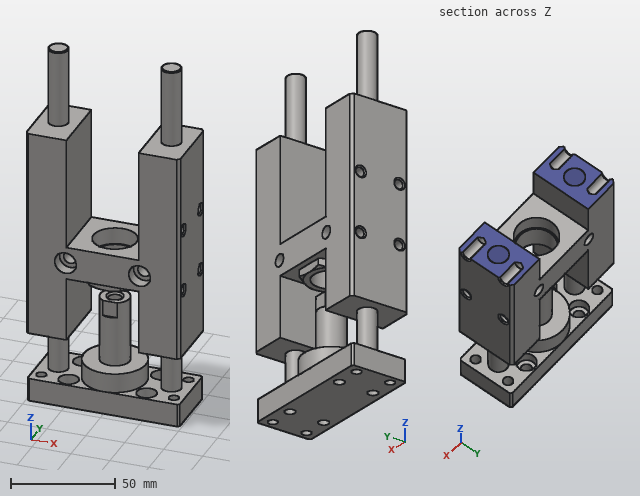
import cadquery as cq
import math

total_height = 185.0
rod_spacing = 58.0
rod_dia = 10.0

housing_width = 79.0
housing_depth = 34.0
housing_corner_chamfer = 1.5
housing_bottom = 37.0
housing_height = 108.0
leg_gap = 37.0
web_bottom = 70.0
web_height = 17.0
web_top = web_bottom + web_height
housing_top = housing_bottom + housing_height

hex_across_flats = 27.0
hex_height = 4.5
hex_face_dia = 27.2
hex_chamfer_angle = 30.0

bore_dia = 22.0
bore_depth = 8.5
bore_thread_dia = 20.38

mount_spacing = 38.0
mount_z = web_bottom + web_height / 2
mount_hole_dia = 6.6
mount_counterbore_dia = 11.0
mount_counterbore_depth = 6.5

side_hole_dia = 4.92
side_hole_depth = 12.0
side_hole_mouth_dia = 6.4
side_hole_pitch_y = 23.0
side_hole_pitch_z = 32.5
side_hole_center_z = 88.25

plate_width = 78.0
plate_depth = 32.0
plate_corner_chamfer = 1.0
plate_height = 12.0
boss_dia = 32.0
boss_height = 10.0
guide_rod_chamfer = 0.5
piston_rod_dia = 15.0
piston_rod_top = 56.0
flats_width = 13.0
flats_height = 8.0

rod_thread_dia = 6.65
rod_thread_mouth_dia = 8.5
rod_thread_depth = 16.0

plate_hole_pitch_y = 20.0
corner_hole_pitch_x = 68.0
corner_hole_dia = 5.0
screw_hole_pitch_x = 40.0
screw_hole_dia = 5.5
screw_counterbore_dia = 10.0
screw_counterbore_depth = 5.5

drill_point_angle = 118.0


def blind_hole(dia, depth, mouth_dia):
    """Cutter for a drilled hole along -Z from the origin, with a 45 degree mouth and a drill point."""
    radius = dia / 2
    mouth_radius = mouth_dia / 2
    point = radius / math.tan(math.radians(drill_point_angle / 2))
    profile = [
        (0, 0),
        (mouth_radius, 0),
        (radius, radius - mouth_radius),
        (radius, -depth),
        (0, -depth - point),
    ]
    return cq.Workplane("XZ").polyline(profile).close().revolve(360, (0, 0), (0, 1))


def chamfered_block(width, depth, bottom, height, corner_chamfer):
    """Block with chamfered vertical corners."""
    block = cq.Workplane("XY").workplane(offset=bottom).rect(width, depth).extrude(height)
    return block.edges("|Z").chamfer(corner_chamfer)


def cylinder(dia, bottom, top):
    return cq.Workplane("XY").workplane(offset=bottom).circle(dia / 2).extrude(top - bottom)


def hexagon():
    """Hexagon below the web, corners on the X axis, its lower corners turned off conically."""
    corner_dia = hex_across_flats / math.cos(math.radians(30))
    bottom = web_bottom - hex_height
    prism = cq.Workplane("XY").workplane(offset=bottom).polygon(6, corner_dia).extrude(hex_height)
    chamfer_rise = (corner_dia - hex_face_dia) / 2 * math.tan(math.radians(hex_chamfer_angle))
    profile = [
        (0, bottom),
        (hex_face_dia / 2, bottom),
        (corner_dia / 2, bottom + chamfer_rise),
        (corner_dia / 2, web_bottom),
        (0, web_bottom),
    ]
    envelope = cq.Workplane("XZ").polyline(profile).close().revolve(360, (0, 0), (0, 1))
    return prism.intersect(envelope)


def make_housing():
    body = chamfered_block(
        housing_width, housing_depth, housing_bottom, housing_height, housing_corner_chamfer
    )

    for bottom, top in ((housing_bottom, web_bottom), (web_top, housing_top)):
        gap = cq.Workplane("XY").workplane(offset=bottom).rect(leg_gap, housing_depth).extrude(top - bottom)
        body = body.cut(gap)
    body = body.union(hexagon())

    body = body.cut(cylinder(bore_thread_dia, web_bottom - hex_height, web_top))
    body = body.cut(cylinder(bore_dia, web_top - bore_depth, web_top))

    for side in (-1, 1):
        guide_bore = cylinder(rod_dia, housing_bottom, housing_top)
        body = body.cut(guide_bore.translate((side * rod_spacing / 2, 0, 0)))
    mount_face = cq.Workplane("XZ", origin=(0, -housing_depth / 2, mount_z))
    mounts = mount_face.pushPoints([(-mount_spacing / 2, 0), (mount_spacing / 2, 0)])
    body = body.cut(mounts.circle(mount_hole_dia / 2).extrude(-housing_depth))
    body = body.cut(mounts.circle(mount_counterbore_dia / 2).extrude(-mount_counterbore_depth))

    cutter = blind_hole(side_hole_dia, side_hole_depth, side_hole_mouth_dia)
    for side in (-1, 1):
        drill = cutter.rotate((0, 0, 0), (0, 1, 0), side * 90)
        for y_sign in (-1, 1):
            for z_sign in (-1, 1):
                y = y_sign * side_hole_pitch_y / 2
                z = side_hole_center_z + z_sign * side_hole_pitch_z / 2
                body = body.cut(drill.translate((side * housing_width / 2, y, z)))
    return body


def make_piston_rod():
    """Piston rod with two wrench flats and a threaded hole in its top end."""
    rod = cylinder(piston_rod_dia, 0, piston_rod_top)
    tip = cq.Workplane("XY").workplane(offset=piston_rod_top - flats_height)
    for side in (-1, 1):
        cutter_y = side * (flats_width + piston_rod_dia) / 2
        rod = rod.cut(tip.center(0, cutter_y).rect(piston_rod_dia, piston_rod_dia).extrude(flats_height))
    thread = blind_hole(rod_thread_dia, rod_thread_depth, rod_thread_mouth_dia)
    return rod.cut(thread.translate((0, 0, piston_rod_top)))


def make_carriage():
    body = chamfered_block(plate_width, plate_depth, 0, plate_height, plate_corner_chamfer)
    boss_top = plate_height + boss_height
    body = body.union(cylinder(boss_dia, plate_height, boss_top))
    body = body.union(make_piston_rod())

    for side in (-1, 1):
        rod = cylinder(rod_dia, 0, total_height).faces(">Z").chamfer(guide_rod_chamfer)
        body = body.union(rod.translate((side * rod_spacing / 2, 0, 0)))

    plate_top = cq.Workplane("XY").workplane(offset=plate_height)
    corners = plate_top.rarray(corner_hole_pitch_x, plate_hole_pitch_y, 2, 2)
    screws = plate_top.rarray(screw_hole_pitch_x, plate_hole_pitch_y, 2, 2)
    body = body.cut(corners.circle(corner_hole_dia / 2).extrude(-plate_height))
    body = body.cut(screws.circle(screw_hole_dia / 2).extrude(-plate_height))
    body = body.cut(screws.circle(screw_counterbore_dia / 2).extrude(-screw_counterbore_depth))
    return body


housing = make_housing().solids()
carriage = make_carriage().solids()
result = cq.Compound.makeCompound([housing.val(), carriage.val()])